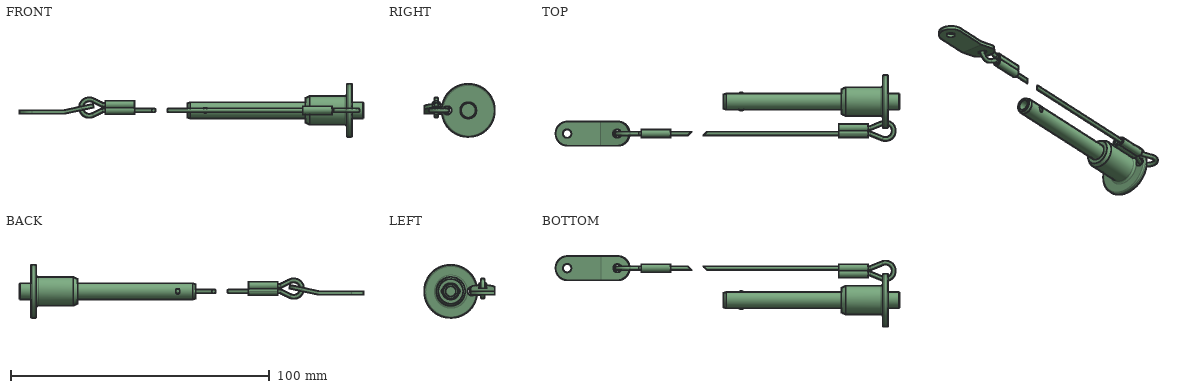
import cadquery as cq
import math


OVERALL_LENGTH = 132.9

PIN_DIAMETER = 6.4
SHANK_REACH = 45.6
TIP_TAPER_LENGTH = 1.2
TIP_TAPER_DEPTH = 0.4
TIP_RECESS_DIAMETER = 4.0
TIP_RECESS_DEPTH = 4.0

BALL_RADIUS = 1.0
BALL_PROTRUSION = 0.4
BALL_SETBACK = 6.9

HANDLE_DIAMETER = 11.2
HANDLE_LENGTH = 16.0
HANDLE_TAPER_LENGTH = 1.6
HANDLE_TAPER_DEPTH = 0.8
FLANGE_DIAMETER = 20.6
FLANGE_THICKNESS = 2.1
FLANGE_EDGE_FILLET = 0.5
FLANGE_ROOT_FILLET = 0.8
FLANGE_HOLE_DIAMETER = 3.2

BUTTON_LENGTH = 4.4
BUTTON_CHAMFER = 0.4

CABLE_DIAMETER = 1.6
STRAND_SPACING = 2.1
LOOP_RADIUS = 3.2
SLEEVE_LOBE_RADIUS = 1.6
SLEEVE_LENGTH = 11.4
TAIL_OFFSET = 12.4

PIN_LOOP_TO_BEND = 5.8
PIN_LOOP_TO_SLEEVE = 6.6
PIN_LOOP_TO_TAIL_END = 69.6
TAB_LOOP_TO_BEND = 5.0
TAB_LOOP_TO_SLEEVE = 6.1
TAB_LOOP_TO_TAIL_END = 24.8
TAB_LOOP_X = -83.5

TAB_WIDTH = 9.5
TAB_THICKNESS = 1.5
TAB_FLAT_LENGTH = 17.4
TAB_BENT_LENGTH = 11.5
TAB_BEND_ANGLE = 12.0
TAB_HOLE_DIAMETER = 3.2
MOUNTING_HOLE_INSET = 4.5
CABLE_HOLE_INSET = 4.8
TAB_TOP_Z = 0.1

PIN_RADIUS = PIN_DIAMETER / 2
HANDLE_RADIUS = HANDLE_DIAMETER / 2
FLANGE_RADIUS = FLANGE_DIAMETER / 2
FLANGE_BACK_X = HANDLE_LENGTH + FLANGE_THICKNESS
BUTTON_END_X = FLANGE_BACK_X + BUTTON_LENGTH
TAB_START_X = BUTTON_END_X - OVERALL_LENGTH
STRAND_OFFSET = STRAND_SPACING / 2
PIN_LOOP_X = HANDLE_LENGTH + FLANGE_THICKNESS / 2
PIN_LOOP_Y = STRAND_OFFSET - TAIL_OFFSET
BALL_X = BALL_SETBACK - SHANK_REACH
BALL_OFFSET = PIN_RADIUS + BALL_PROTRUSION - BALL_RADIUS

PIN_LOOP_FRAME = cq.Plane((PIN_LOOP_X, PIN_LOOP_Y, 0), (1, 0, 0), (0, 0, 1))
TAB_LOOP_FRAME = cq.Plane((TAB_LOOP_X, -TAIL_OFFSET, STRAND_OFFSET), (-1, 0, 0), (0, 1, 0))


def make_ball(side):
    """Locking ball on the +Y (side 1) or -Y (side -1) flank of the shank."""
    return cq.Workplane().sphere(BALL_RADIUS).translate((BALL_X, side * BALL_OFFSET, 0))


def make_shank(balls):
    """Rod with a tapered, recessed tip and ball seats; it fills the bore of the handle."""
    shank = (
        cq.Workplane("XY")
        .moveTo(-SHANK_REACH, 0)
        .lineTo(-SHANK_REACH, PIN_RADIUS - TIP_TAPER_DEPTH)
        .lineTo(TIP_TAPER_LENGTH - SHANK_REACH, PIN_RADIUS)
        .lineTo(FLANGE_BACK_X, PIN_RADIUS)
        .lineTo(FLANGE_BACK_X, 0)
        .close()
        .revolve(360, (0, 0), (1, 0))
    )
    recess = (
        cq.Workplane("YZ", origin=(-SHANK_REACH, 0, 0))
        .circle(TIP_RECESS_DIAMETER / 2)
        .extrude(TIP_RECESS_DEPTH)
    )
    shank = shank.cut(recess)
    for ball in balls:
        shank = shank.cut(ball)
    return shank


def make_handle():
    """Round grip with a tapered front, a rear flange, a through bore and a lanyard hole."""
    root = FLANGE_ROOT_FILLET
    edge = FLANGE_EDGE_FILLET
    handle = (
        cq.Workplane("XY")
        .moveTo(0, PIN_RADIUS)
        .lineTo(0, HANDLE_RADIUS - HANDLE_TAPER_DEPTH)
        .lineTo(HANDLE_TAPER_LENGTH, HANDLE_RADIUS)
        .lineTo(HANDLE_LENGTH - root, HANDLE_RADIUS)
        .radiusArc((HANDLE_LENGTH, HANDLE_RADIUS + root), -root)
        .lineTo(HANDLE_LENGTH, FLANGE_RADIUS - edge)
        .radiusArc((HANDLE_LENGTH + edge, FLANGE_RADIUS), edge)
        .lineTo(FLANGE_BACK_X - edge, FLANGE_RADIUS)
        .radiusArc((FLANGE_BACK_X, FLANGE_RADIUS - edge), edge)
        .lineTo(FLANGE_BACK_X, PIN_RADIUS)
        .close()
        .revolve(360, (0, 0), (1, 0))
    )
    lanyard_hole = (
        cq.Workplane("YZ", origin=(HANDLE_LENGTH, PIN_LOOP_Y + LOOP_RADIUS, 0))
        .circle(FLANGE_HOLE_DIAMETER / 2)
        .extrude(FLANGE_THICKNESS)
    )
    return handle.cut(lanyard_hole)


def make_button():
    """Push button on the back of the handle."""
    return (
        cq.Workplane("YZ", origin=(FLANGE_BACK_X, 0, 0))
        .circle(PIN_RADIUS)
        .extrude(BUTTON_LENGTH)
        .faces(">X")
        .chamfer(BUTTON_CHAMFER)
    )


def make_cable(frame, to_bend, to_sleeve, to_tail_end):
    """Cable that runs up its tail, round the loop and back to the far end of the sleeve."""
    bend_distance = math.hypot(to_bend, STRAND_OFFSET)
    slope = math.asin(LOOP_RADIUS / bend_distance) - math.atan2(STRAND_OFFSET, to_bend)
    tangent_x = -LOOP_RADIUS * math.sin(slope)
    tangent_y = LOOP_RADIUS * math.cos(slope)
    rough_end = to_tail_end + CABLE_DIAMETER
    path = (
        cq.Workplane("XY")
        .moveTo(-rough_end, -STRAND_OFFSET)
        .lineTo(-to_bend, -STRAND_OFFSET)
        .lineTo(tangent_x, -tangent_y)
        .threePointArc((LOOP_RADIUS, 0), (tangent_x, tangent_y))
        .lineTo(-to_bend, STRAND_OFFSET)
        .lineTo(-to_sleeve - SLEEVE_LENGTH, STRAND_OFFSET)
    )
    cable = (
        cq.Workplane("YZ", origin=(-rough_end, -STRAND_OFFSET, 0))
        .circle(CABLE_DIAMETER / 2)
        .sweep(path, transition="right")
    )
    return cq.Workplane(cable.val().moved(cq.Location(frame)))


def make_end_cutter(end_x, side):
    """Block that trims a tail at 45 degrees in the XY plane, on the +X (1) or -X (-1) side."""
    size = 4 * CABLE_DIAMETER
    return (
        cq.Workplane()
        .box(size, size, size)
        .translate((side * size / 2, 0, 0))
        .rotate((0, 0, 0), (0, 0, 1), -45)
        .translate((end_x, -TAIL_OFFSET, 0))
    )


def make_sleeve(frame, to_sleeve):
    """Crimp sleeve of two merged round lobes, with one bore per strand."""
    radius = SLEEVE_LOBE_RADIUS
    top = STRAND_OFFSET + radius
    waist = math.sqrt(radius**2 - STRAND_OFFSET**2)
    sleeve = (
        cq.Workplane("YZ", origin=(-to_sleeve - SLEEVE_LENGTH, 0, 0))
        .moveTo(STRAND_OFFSET, radius)
        .threePointArc((top, 0), (STRAND_OFFSET, -radius))
        .radiusArc((0, -waist), radius)
        .radiusArc((-STRAND_OFFSET, -radius), radius)
        .threePointArc((-top, 0), (-STRAND_OFFSET, radius))
        .radiusArc((0, waist), radius)
        .radiusArc((STRAND_OFFSET, radius), radius)
        .close()
        .extrude(SLEEVE_LENGTH)
    )
    bores = (
        cq.Workplane("YZ", origin=(-to_sleeve - SLEEVE_LENGTH, 0, 0))
        .pushPoints([(-STRAND_OFFSET, 0), (STRAND_OFFSET, 0)])
        .circle(CABLE_DIAMETER / 2)
        .extrude(SLEEVE_LENGTH)
    )
    return cq.Workplane(sleeve.cut(bores).val().moved(cq.Location(frame)))


def make_tab_half(length, hole_inset):
    """Plate from X = 0 to a round end at X = length, with a hole near that end."""
    end_radius = TAB_WIDTH / 2
    return (
        cq.Workplane("XY")
        .moveTo(0, -end_radius)
        .lineTo(length - end_radius, -end_radius)
        .threePointArc((length, 0), (length - end_radius, end_radius))
        .lineTo(0, end_radius)
        .close()
        .moveTo(length - hole_inset, 0)
        .circle(TAB_HOLE_DIAMETER / 2)
        .extrude(-TAB_THICKNESS)
    )


def make_tab():
    """Anchor tab, bent about the lower edge where its two halves meet."""
    lower_edge = (0, 0, -TAB_THICKNESS)
    axis_end = (0, 1, -TAB_THICKNESS)
    flat_half = make_tab_half(TAB_FLAT_LENGTH, MOUNTING_HOLE_INSET)
    flat_half = flat_half.rotate((0, 0, 0), (0, 0, 1), 180)
    bent_half = make_tab_half(TAB_BENT_LENGTH, CABLE_HOLE_INSET)
    bent_half = bent_half.rotate(lower_edge, axis_end, -TAB_BEND_ANGLE)
    bend_place = (TAB_START_X + TAB_FLAT_LENGTH, -TAIL_OFFSET, TAB_TOP_Z)
    return flat_half.union(bent_half).translate(bend_place)


balls = [make_ball(side) for side in (-1, 1)]
shank = make_shank(balls)
handle = make_handle()
button = make_button()

pin_cable = make_cable(PIN_LOOP_FRAME, PIN_LOOP_TO_BEND, PIN_LOOP_TO_SLEEVE, PIN_LOOP_TO_TAIL_END)
pin_cable = pin_cable.cut(make_end_cutter(PIN_LOOP_X - PIN_LOOP_TO_TAIL_END, -1))
tab_cable = make_cable(TAB_LOOP_FRAME, TAB_LOOP_TO_BEND, TAB_LOOP_TO_SLEEVE, TAB_LOOP_TO_TAIL_END)
tab_cable = tab_cable.cut(make_end_cutter(TAB_LOOP_X + TAB_LOOP_TO_TAIL_END, 1))

pin_sleeve = make_sleeve(PIN_LOOP_FRAME, PIN_LOOP_TO_SLEEVE)
tab_sleeve = make_sleeve(TAB_LOOP_FRAME, TAB_LOOP_TO_SLEEVE)
tab = make_tab()

result = cq.Compound.makeCompound([
    shank.val(),
    handle.val(),
    button.val(),
    *[ball.val() for ball in balls],
    pin_cable.val(),
    tab_cable.val(),
    pin_sleeve.val(),
    tab_sleeve.val(),
    tab.val(),
])